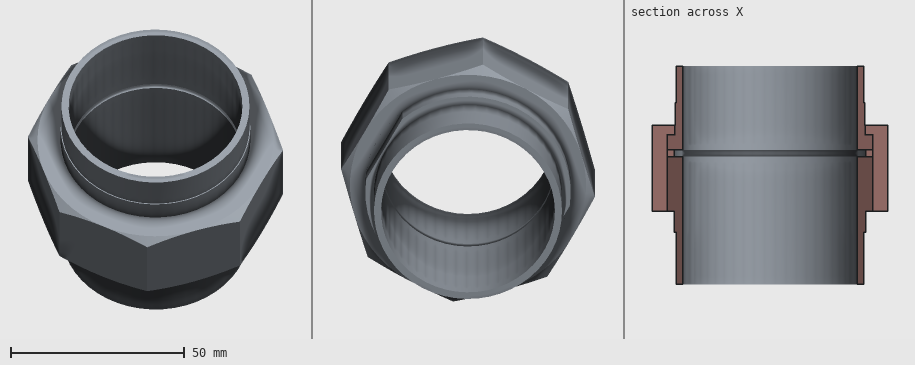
import cadquery as cq
import math

total_height = 63.0
lower_pipe_height = 15.0
flange_height = 6.0
nut_height = 25.0
nut_bottom = lower_pipe_height + flange_height
nut_top = nut_bottom + nut_height
shoulder_top = 52.5
nut_lip_height = 3.0
nut_lip_bottom = nut_top - nut_lip_height

seal_height = 2.0
seal_bottom = 36.85
seal_top = seal_bottom + seal_height
seal_bore_diameter = 55.2

nut_across_flats = 68.0
pipe_diameter = 54.1
bore_diameter = 50.05
shoulder_diameter = 54.7
flange_diameter = 59.15
flange_across_flats = 55.2

nut_sides = 8
nut_chamfer_angle = 30.0
cone_overrun = 0.7


def cylinder(diameter, bottom, top):
    """Vertical cylinder on the union axis between two heights."""
    return cq.Workplane("XY").workplane(offset=bottom).circle(diameter / 2).extrude(top - bottom)


def make_nut_blank():
    """Octagonal prism with the corners chamfered conically at both ends."""
    corner_diameter = nut_across_flats / math.cos(math.pi / nut_sides)
    prism = (
        cq.Workplane("XY")
        .workplane(offset=nut_bottom)
        .transformed(rotate=(0, 0, 180 / nut_sides))
        .polygon(nut_sides, corner_diameter)
        .extrude(nut_height)
    )
    face_radius = nut_across_flats / 2
    envelope_radius = corner_diameter / 2 + cone_overrun
    chamfer_drop = (envelope_radius - face_radius) * math.tan(math.radians(nut_chamfer_angle))
    envelope = (
        cq.Workplane("XZ")
        .moveTo(0, nut_bottom)
        .lineTo(face_radius, nut_bottom)
        .lineTo(envelope_radius, nut_bottom + chamfer_drop)
        .lineTo(envelope_radius, nut_top - chamfer_drop)
        .lineTo(face_radius, nut_top)
        .lineTo(0, nut_top)
        .close()
        .revolve(360, (0, 0), (0, 1))
    )
    return prism.intersect(envelope)


def make_nut():
    """Union nut whose top lip holds the collar of the upper tail."""
    wide_bore = cylinder(flange_diameter, nut_bottom, nut_lip_bottom)
    lip_bore = cylinder(shoulder_diameter, nut_lip_bottom, nut_top)
    return make_nut_blank().cut(wide_bore).cut(lip_bore)


def make_upper_tail():
    """Upper pipe end with a shoulder and a collar caught under the nut lip."""
    collar = cylinder(flange_diameter, seal_top, nut_lip_bottom)
    shoulder = cylinder(shoulder_diameter, nut_lip_bottom, shoulder_top)
    pipe = cylinder(pipe_diameter, shoulder_top, total_height)
    bore = cylinder(bore_diameter, seal_top, total_height)
    return collar.union(shoulder).union(pipe).cut(bore)


def make_lower_tail():
    """Lower pipe end with a flange that has two wrench flats and enters the nut."""
    pipe = cylinder(pipe_diameter, 0, lower_pipe_height)
    flats = (
        cq.Workplane("XY")
        .workplane(offset=lower_pipe_height)
        .rect(flange_diameter, flange_across_flats)
        .extrude(flange_height)
    )
    flange = cylinder(flange_diameter, lower_pipe_height, nut_bottom).intersect(flats)
    spigot = cylinder(flange_diameter, nut_bottom, seal_bottom)
    bore = cylinder(bore_diameter, 0, seal_bottom)
    return pipe.union(flange).union(spigot).cut(bore)


def make_seal():
    """Flat ring clamped between the two tails, set back from their bores."""
    ring = cylinder(flange_diameter, seal_bottom, seal_top)
    return ring.cut(cylinder(seal_bore_diameter, seal_bottom, seal_top))


nut = make_nut()
upper_tail = make_upper_tail()
lower_tail = make_lower_tail()
seal = make_seal()

result = cq.Compound.makeCompound([nut.val(), upper_tail.val(), lower_tail.val(), seal.val()])